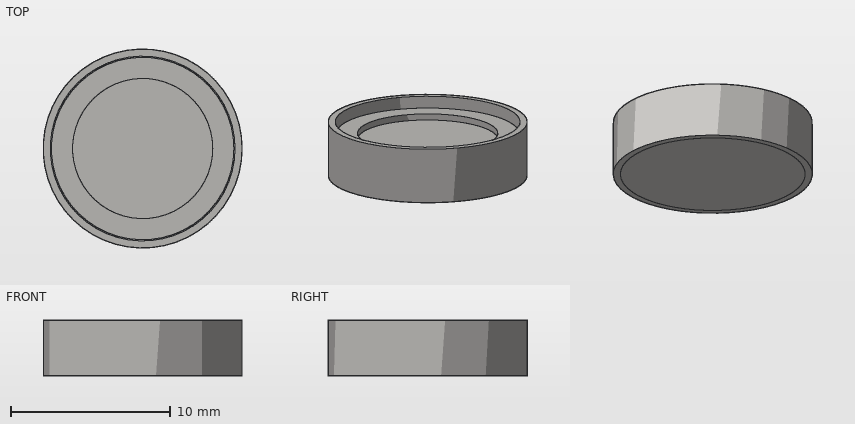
import cadquery as cq

housing_diameter = 12.5
housing_height = 3.5
bore_diameter = 11.6

ring_clearance = 0.075
ring_outer_diameter = bore_diameter - 2 * ring_clearance
ring_inner_diameter = 8.8
ring_thickness = 0.4
ring_recess = 0.75

disc_thickness = housing_height - ring_recess - ring_thickness


def make_tube(outer_diameter, inner_diameter, height, base_z):
    """Return an upright tube centred on the Z axis, standing at base_z."""
    return (
        cq.Workplane("XY", origin=(0, 0, base_z))
        .circle(outer_diameter / 2)
        .circle(inner_diameter / 2)
        .extrude(height)
    )


def make_housing():
    return make_tube(housing_diameter, bore_diameter, housing_height, 0)


def make_disc():
    return cq.Workplane("XY").circle(bore_diameter / 2).extrude(disc_thickness)


def make_retaining_ring():
    """Return the ring that rests on the disc."""
    return make_tube(ring_outer_diameter, ring_inner_diameter, ring_thickness, disc_thickness)


housing = make_housing()
disc = make_disc()
retaining_ring = make_retaining_ring()

result = cq.Compound.makeCompound([housing.val(), disc.val(), retaining_ring.val()])